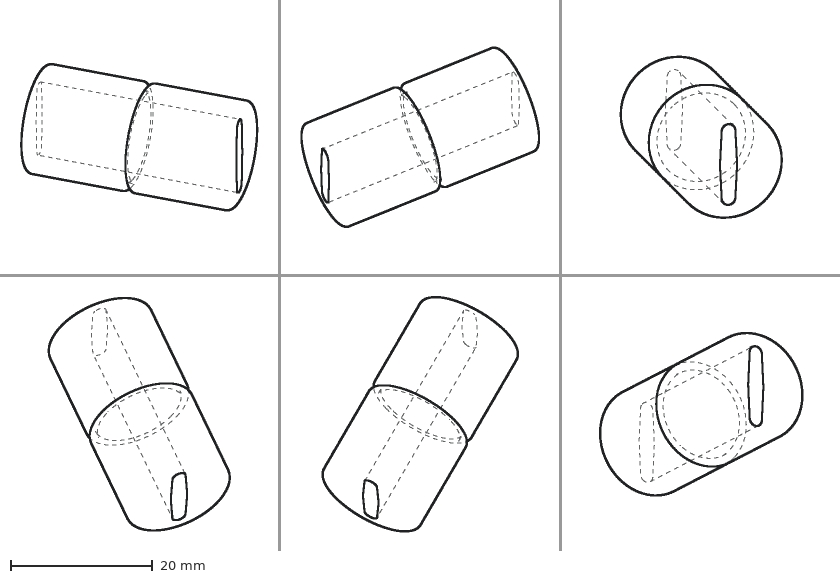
import cadquery as cq
import math

length = 30.0
diameter = 15.8
end_fillet = 0.5

groove_width = 1.4
groove_diameter = 13.2
groove_fillet = 0.2

slot_height = 11.8
slot_width_middle = 2.5
slot_cap_radius = 1.0
slot_side_radius = 1.0

radius = diameter / 2
groove_radius = groove_diameter / 2
half_length = length / 2


def groove_cutter():
    """Ring that cuts the groove around the middle of the body."""
    return (
        cq.Workplane("YZ")
        .circle(diameter)
        .circle(groove_radius)
        .extrude(groove_width / 2, both=True)
    )


def round_body():
    """Cylinder along X with rounded ends and a rounded groove in the middle."""
    body = cq.Workplane("YZ").circle(radius).extrude(half_length, both=True)
    body = body.faces("<X or >X").edges().fillet(end_fillet)
    body = body.cut(groove_cutter())
    groove_region = cq.selectors.BoxSelector(
        (-groove_width, -diameter, -diameter),
        (groove_width, diameter, diameter),
        boundingbox=True,
    )
    return body.edges("%CIRCLE").edges(groove_region).fillet(groove_fillet)


def slot_cutter():
    """Through slot along X: widest at mid height, its straight sides tangent to round caps."""
    half_height = slot_height / 2
    half_middle = slot_width_middle / 2
    cap_center = half_height - slot_cap_radius

    corner_distance = math.hypot(half_middle, cap_center)
    corner_angle = math.atan2(-cap_center, half_middle)
    tangent_angle = corner_angle + math.acos(slot_cap_radius / corner_distance)
    tangent_y = slot_cap_radius * math.cos(tangent_angle)
    tangent_z = cap_center + slot_cap_radius * math.sin(tangent_angle)

    slot = (
        cq.Workplane("YZ")
        .moveTo(half_middle, 0)
        .lineTo(tangent_y, tangent_z)
        .threePointArc((0, half_height), (-tangent_y, tangent_z))
        .lineTo(-half_middle, 0)
        .lineTo(-tangent_y, -tangent_z)
        .threePointArc((0, -half_height), (tangent_y, -tangent_z))
        .close()
        .extrude(half_length, both=True)
    )
    return slot.edges("|X").edges(">Y or <Y").fillet(slot_side_radius)


def half_of(body, side):
    """Part of the body on one side (+1 or -1) of the XZ plane."""
    half_space = cq.Workplane("XY").box(length, diameter, diameter)
    return body.intersect(half_space.translate((0, side * radius, 0)))


whole = round_body().cut(slot_cutter())
joined = half_of(whole, 1).union(half_of(whole, -1), clean=False)
result = cq.Workplane("XY").newObject([joined.solids().val()])